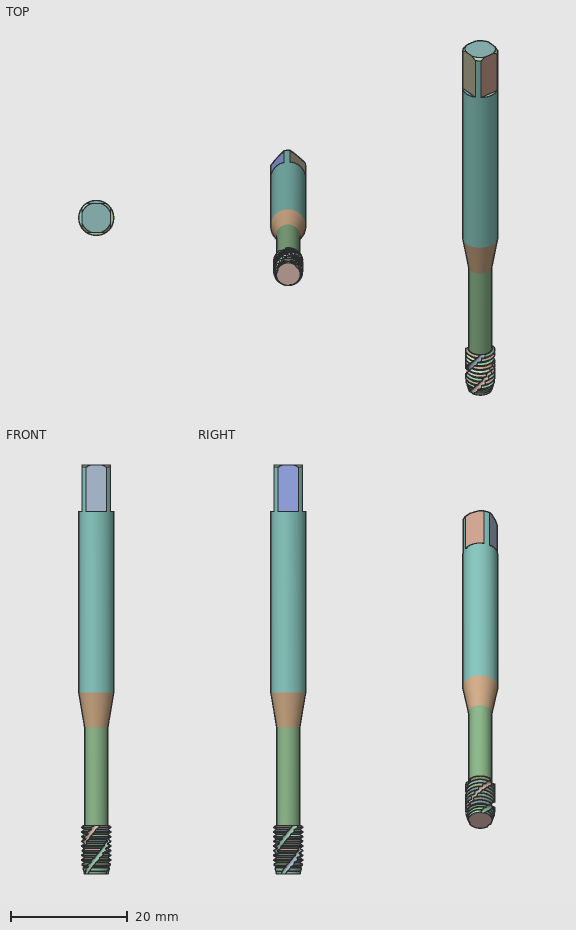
import cadquery as cq
import math

full_turn = 360.0

total_length = 70.0
square_length = 8.0
shank_bottom = 31.0
neck_top = 25.0
head_length = 8.3

shank_radius = 3.0
neck_diameter = 4.0
neck_radius = neck_diameter / 2
square_width = 4.9
square_chamfer = 0.4
clearance_radius = 2 * shank_radius

thread_radius = 2.5
root_radius = 2.1
ring_count = 10
ring_span = 8.0
thread_pitch = ring_span / ring_count
crest_width = 0.105
root_width = 0.15
top_bevel_height = 0.3
tip_radius = 2.0
tip_taper_length = 1.9

flute_count = 3
flute_lead = 16.8
flute_radius = 0.6
flute_center_radius = 2.5
first_flute_angle = 94.0


def make_shank():
    """Shank body: square drive, cylinder, cone and neck as one solid."""
    profile = [
        (0, head_length),
        (neck_radius, head_length),
        (neck_radius, neck_top),
        (shank_radius, shank_bottom),
        (shank_radius, total_length - square_chamfer),
        (shank_radius - square_chamfer, total_length),
        (0, total_length),
    ]
    body = cq.Workplane("XZ").polyline(profile).close().revolve(full_turn, (0, 0), (0, 1))
    square_bottom = total_length - square_length
    around_square = (
        cq.Workplane("XY")
        .workplane(offset=square_bottom)
        .circle(clearance_radius)
        .rect(square_width, square_width)
        .extrude(square_length)
    )
    return body.cut(around_square)


def thread_blank():
    """Ring-thread outline, revolved: one crest per pitch below the bevelled top."""
    flank_height = (thread_pitch - crest_width - root_width) / 2
    outline = [(0, head_length), (root_radius, head_length)]
    for ring in range(ring_count):
        crest_top = head_length - top_bevel_height - ring * thread_pitch
        crest_bottom = crest_top - crest_width
        root_top = crest_bottom - flank_height
        root_bottom = root_top - root_width
        outline += [
            (thread_radius, crest_top),
            (thread_radius, crest_bottom),
            (root_radius, root_top),
            (root_radius, root_bottom),
        ]
    outline += [(root_radius, 0), (0, 0)]
    return cq.Workplane("XZ").polyline(outline).close().revolve(full_turn, (0, 0), (0, 1))


def tip_envelope():
    """Cylinder with a tapered lead-in that limits the rings near the tip."""
    outline = [
        (0, 0),
        (tip_radius, 0),
        (thread_radius, tip_taper_length),
        (thread_radius, head_length),
        (0, head_length),
    ]
    return cq.Workplane("XZ").polyline(outline).close().revolve(full_turn, (0, 0), (0, 1))


def flute(angle):
    """One helical groove that starts at the given angle at the tip and runs the full head."""
    twist = full_turn * head_length / flute_lead
    center_x = flute_center_radius * math.cos(math.radians(angle))
    center_y = flute_center_radius * math.sin(math.radians(angle))
    return (
        cq.Workplane("XY")
        .moveTo(center_x, center_y)
        .circle(flute_radius)
        .twistExtrude(head_length, twist)
    )


def make_threaded_head():
    """Ring-threaded cutting head with a tapered tip and helical flutes."""
    head = thread_blank().intersect(tip_envelope())
    for index in range(flute_count):
        head = head.cut(flute(first_flute_angle + index * full_turn / flute_count))
    return head


shank = make_shank()
threaded_head = make_threaded_head()

result = cq.Compound.makeCompound([shank.val(), threaded_head.val()])